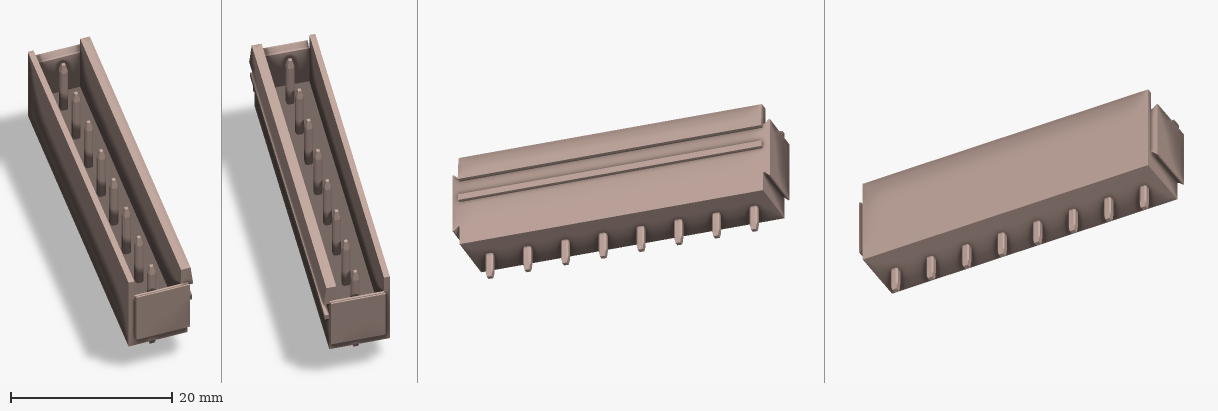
import cadquery as cq

OVERALL_LENGTH = 42.0
HOUSING_LENGTH = 40.15
HOUSING_HEIGHT = 12.0
HOUSING_DEPTH = 7.73
FRONT_WALL = 0.75
BACK_WALL = 0.9
FLOOR_THICKNESS = 3.0

LIP_HEIGHT = 3.15
LIP_PROJECTION = 0.7
LIP_TOP_PROJECTION = 0.38
RIB_TOP_DROP = 5.25
RIB_HEIGHT = 0.8
RIB_PROJECTION = 0.6

CHEEK_BASE = 2.0
CHEEK_HEIGHT = 7.9
CHEEK_FLARE = 0.5
CHEEK_RIM = 0.15

PIN_COUNT = 8
PIN_PITCH = 5.0
PIN_Y = 3.82
PIN_WIDTH = 1.0
PIN_EDGE_CHAMFER = 0.2
PIN_TOP_DROP = 0.92
PIN_TAIL = 3.2
TOP_TAPER_LENGTH = 1.2
TOP_TIP_WIDTH = 0.4
TAIL_TAPER_LENGTH = 0.95
TAIL_TIP_WIDTH = 0.65

CHEEK_THICKNESS = (OVERALL_LENGTH - HOUSING_LENGTH) / 2
PIN_TOP_Z = HOUSING_HEIGHT - PIN_TOP_DROP
PIN_LENGTH = PIN_TOP_Z + PIN_TAIL
PIN_POSITIONS = [(i - (PIN_COUNT - 1) / 2) * PIN_PITCH for i in range(PIN_COUNT)]


def make_trough():
    """U-shaped trough with the lip and rib, its section extruded along X."""
    back = HOUSING_DEPTH
    top = HOUSING_HEIGHT
    lip_bottom = top - LIP_HEIGHT
    rib_top = top - RIB_TOP_DROP
    rib_bottom = rib_top - RIB_HEIGHT
    section = [
        (0, 0),
        (back, 0),
        (back, rib_bottom),
        (back + RIB_PROJECTION, rib_bottom),
        (back + RIB_PROJECTION, rib_top),
        (back, rib_top),
        (back, lip_bottom),
        (back + LIP_PROJECTION, lip_bottom),
        (back + LIP_TOP_PROJECTION, top),
        (back - BACK_WALL, top),
        (back - BACK_WALL, FLOOR_THICKNESS),
        (FRONT_WALL, FLOOR_THICKNESS),
        (FRONT_WALL, top),
        (0, top),
    ]
    return cq.Workplane("YZ").polyline(section).close().extrude(HOUSING_LENGTH / 2, both=True)


def make_cheek():
    """Cheek on the -X end, flaring outward at its top and bottom edges."""
    outer = -OVERALL_LENGTH / 2
    rim = outer + CHEEK_RIM
    neck = rim + CHEEK_FLARE
    inner = outer + CHEEK_THICKNESS
    bottom = CHEEK_BASE
    top = CHEEK_BASE + CHEEK_HEIGHT
    profile = [
        (outer, bottom),
        (rim, bottom),
        (neck, bottom + CHEEK_FLARE),
        (inner, bottom + CHEEK_FLARE),
        (inner, top - CHEEK_FLARE),
        (neck, top - CHEEK_FLARE),
        (rim, top),
        (outer, top),
    ]
    return (
        cq.Workplane("XZ", origin=(0, FRONT_WALL, 0))
        .polyline(profile)
        .close()
        .extrude(-(HOUSING_DEPTH - FRONT_WALL))
    )


def pin_taper(base_z, base_width, tip_width, length):
    """Square frustum that rises from base_z, or falls from it if length is negative."""
    return (
        cq.Workplane("XY", origin=(0, 0, base_z))
        .rect(base_width, base_width)
        .workplane(offset=length)
        .rect(tip_width, tip_width)
        .loft(ruled=True)
    )


def make_pin(x):
    """Square pin with chamfered long edges and a tapered point at each end."""
    shank_bottom = TAIL_TAPER_LENGTH - PIN_TAIL
    shank_top = PIN_TOP_Z - TOP_TAPER_LENGTH
    chamfered_bar = (
        cq.Workplane("XY", origin=(0, 0, -PIN_TAIL))
        .rect(PIN_WIDTH, PIN_WIDTH)
        .extrude(PIN_LENGTH)
        .edges("|Z")
        .chamfer(PIN_EDGE_CHAMFER)
    )
    pointed_bar = (
        cq.Workplane("XY", origin=(0, 0, shank_bottom))
        .rect(PIN_WIDTH, PIN_WIDTH)
        .extrude(shank_top - shank_bottom)
        .union(pin_taper(shank_top, PIN_WIDTH, TOP_TIP_WIDTH, TOP_TAPER_LENGTH))
        .union(pin_taper(shank_bottom, PIN_WIDTH, TAIL_TIP_WIDTH, -TAIL_TAPER_LENGTH))
    )
    return chamfered_bar.intersect(pointed_bar).translate((x, PIN_Y, 0))


def make_housing(pins):
    """Trough and end cheeks, with a fitting hole through the floor for each pin."""
    cheek = make_cheek()
    housing = make_trough().union(cheek).union(cheek.mirror("YZ"))
    for pin in pins:
        housing = housing.cut(pin)
    return housing


pins = [make_pin(x) for x in PIN_POSITIONS]
housing = make_housing(pins)

result = cq.Compound.makeCompound([housing.val(), *[pin.val() for pin in pins]])